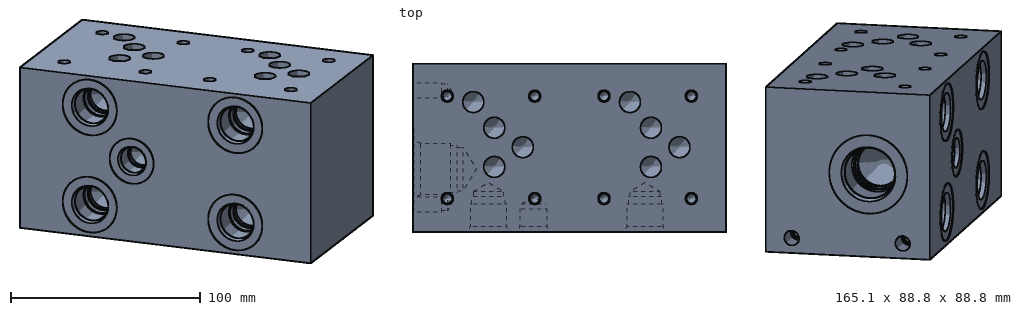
import cadquery as cq
import math

LENGTH = 165.1
SECTION = 88.8
MID = SECTION / 2

STATION_PITCH = 82.5
STATION_SHIFTS = (0, STATION_PITCH)

POINT_ANGLE = 118.0
SPOTFACE_DEPTH = 0.5


WORK_PORT_X = 39.6
WORK_PORT_OFFSET_Z = 26.9
WORK_PORT = dict(
    spotface=30.7, mouth=20.6, taper_end=19.3, taper_depth=2.6,
    bores=((19.0, 14.9), (17.5, 19.0), (15.8, 21.5)),
)

GAUGE_PORT_X = 63.4
GAUGE_PORT = dict(
    spotface=25.0, mouth=15.8, taper_end=14.5, taper_depth=2.5,
    bores=((14.2, 12.4), (12.7, 14.9)),
)

PRESSURE_PORT_Y = 33.4
PRESSURE_PORT = dict(
    spotface=42.3, mouth=29.4, taper_end=27.4, taper_depth=3.3,
    bores=((26.9, 19.8), (25.0, 23.1), (23.0, 26.4)),
)

END_HOLE_Z = 8.1
END_HOLE_YS = (14.7, 74.8)
END_HOLE_BORES = ((8.0, 14.9), (6.6, 18.2))

VALVE_BOLT_XS = (18.2, 64.2)
VALVE_BOLT_YS = (17.7, 71.7)
VALVE_BOLT_BORES = ((6.3, 13.2), (5.1, 16.5))
PASSAGE_BORES = ((11.0, 3.3),)
PASSAGE_CENTRES = ((31.9, 68.5), (43.0, 55.0), (58.0, 44.7), (43.0, 34.3))


def drilled_cutter(wall_points):
    """Revolve (radius, depth) wall points, closed by a drill point, into a cutter along -Z."""
    tip_radius, wall_end = wall_points[-1]
    tip_depth = wall_end + tip_radius / math.tan(math.radians(POINT_ANGLE / 2))
    profile = [(0, 0)] + [(radius, -depth) for radius, depth in wall_points] + [(0, -tip_depth)]
    return cq.Workplane("XZ").polyline(profile).close().revolve(360, (0, 0, 0), (0, 1, 0))


def stepped_wall(bores, start_depth):
    """Wall points of successively narrower (diameter, end depth) bores."""
    points = []
    for diameter, end_depth in bores:
        points += [(diameter / 2, start_depth), (diameter / 2, end_depth)]
        start_depth = end_depth
    return points


def port_cutter(port):
    """Spotfaced port: tapered seal mouth, then the thread and tap drill bores and a drill point."""
    taper_end_depth = SPOTFACE_DEPTH + port["taper_depth"]
    mouth = [
        (port["spotface"] / 2, 0),
        (port["spotface"] / 2, SPOTFACE_DEPTH),
        (port["mouth"] / 2, SPOTFACE_DEPTH),
        (port["taper_end"] / 2, taper_end_depth),
    ]
    return drilled_cutter(mouth + stepped_wall(port["bores"], taper_end_depth))


def on_top(cutter, x, y):
    return cutter.translate((x, y, SECTION))


def on_front(cutter, x, z):
    return cutter.rotate((0, 0, 0), (1, 0, 0), 90).translate((x, 0, z))


def on_left_end(cutter, y, z):
    return cutter.rotate((0, 0, 0), (0, 1, 0), -90).translate((0, y, z))


result = cq.Workplane("XY").box(LENGTH, SECTION, SECTION, centered=False)

work_port = port_cutter(WORK_PORT)
for shift in STATION_SHIFTS:
    for z in (MID - WORK_PORT_OFFSET_Z, MID + WORK_PORT_OFFSET_Z):
        result = result.cut(on_front(work_port, WORK_PORT_X + shift, z))
result = result.cut(on_front(port_cutter(GAUGE_PORT), GAUGE_PORT_X, MID))

result = result.cut(on_left_end(port_cutter(PRESSURE_PORT), PRESSURE_PORT_Y, MID))
end_hole = drilled_cutter(stepped_wall(END_HOLE_BORES, 0))
for y in END_HOLE_YS:
    result = result.cut(on_left_end(end_hole, y, END_HOLE_Z))

valve_bolt_hole = drilled_cutter(stepped_wall(VALVE_BOLT_BORES, 0))
passage = drilled_cutter(stepped_wall(PASSAGE_BORES, 0))
for shift in STATION_SHIFTS:
    for x in VALVE_BOLT_XS:
        for y in VALVE_BOLT_YS:
            result = result.cut(on_top(valve_bolt_hole, x + shift, y))
    for x, y in PASSAGE_CENTRES:
        result = result.cut(on_top(passage, x + shift, y))